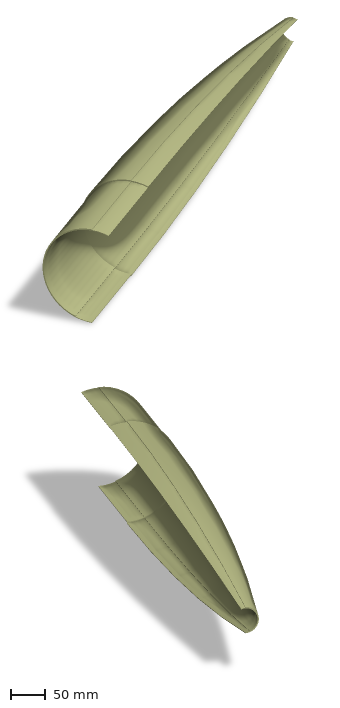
import cadquery as cq
import math

body_radius = 78.2
tip_radius = 20.0
body_length = 650.0
spigot_length = 2 * body_radius
wall = 2.0
spigot_step = wall
lap_depth = wall / 2
lap_angle = 20.0

spigot_radius = body_radius - spigot_step
tip_y = spigot_length + body_length

tongue_start = 90.0 - lap_angle
wall_start = 90.0
groove_start = 270.0 - lap_angle
wall_end = 270.0


def ogive_midpoint():
    """Point halfway along the circular arc that leaves the wide end parallel to the axis."""
    radius_drop = body_radius - tip_radius
    arc_radius = (body_length**2 + radius_drop**2) / (2 * radius_drop)
    half_angle = math.asin(body_length / arc_radius) / 2
    radius = body_radius - arc_radius * (1 - math.cos(half_angle))
    return radius, spigot_length + arc_radius * math.sin(half_angle)


def shell_sector(outer_depth, inner_depth, start_angle, end_angle):
    """Layer of the shell between two depths below its outer surface, over an angular range.

    The shoulder is offset along the axis by the same depths, so body and spigot stay joined.
    """
    mid_radius, mid_y = ogive_midpoint()
    outer_shoulder_y = spigot_length + outer_depth
    inner_shoulder_y = spigot_length + inner_depth
    profile = (
        cq.Workplane("XY")
        .moveTo(spigot_radius - inner_depth, 0)
        .lineTo(spigot_radius - outer_depth, 0)
        .lineTo(spigot_radius - outer_depth, outer_shoulder_y)
        .lineTo(body_radius - outer_depth, outer_shoulder_y)
        .threePointArc((mid_radius - outer_depth, mid_y), (tip_radius - outer_depth, tip_y))
        .lineTo(tip_radius - inner_depth, tip_y)
        .threePointArc((mid_radius - inner_depth, mid_y), (body_radius - inner_depth, inner_shoulder_y))
        .lineTo(spigot_radius - inner_depth, inner_shoulder_y)
        .close()
    )
    sector = profile.revolve(end_angle - start_angle, (0, 0, 0), (0, -1, 0))
    return sector.rotate((0, 0, 0), (0, -1, 0), start_angle)


tongue = shell_sector(lap_depth, wall, tongue_start, wall_start)
full_wall = shell_sector(0, wall, wall_start, groove_start)
grooved_wall = shell_sector(0, wall - lap_depth, groove_start, wall_end)

result = full_wall.union(tongue).union(grooved_wall)